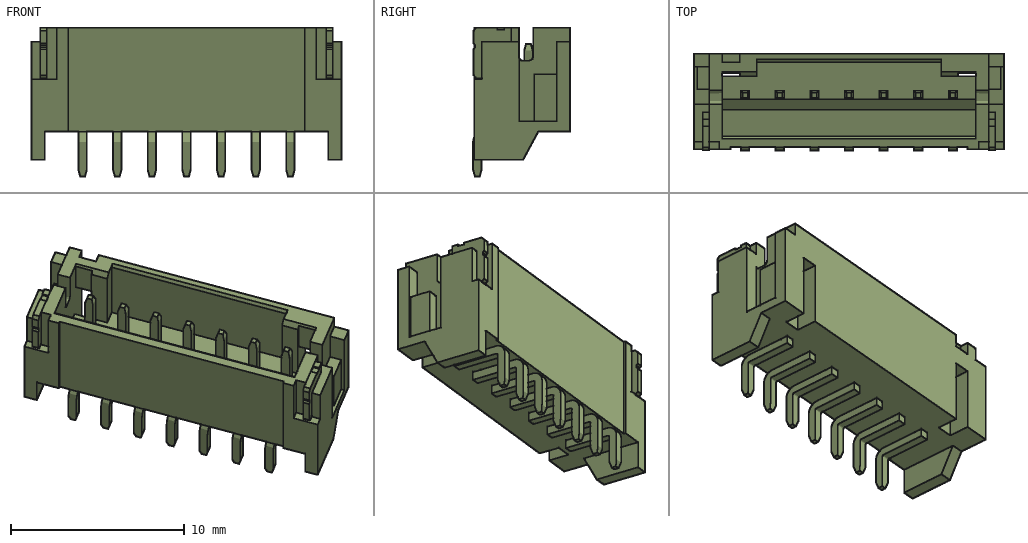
import cadquery as cq


LENGTH = 17.9
BACK_Y = 5.6
FRONT_Y = 0.2
SHELL_HALF = 8.07
TOP_Z = 6.0
END_WALL = 0.75
LEAD_IN = 0.16

CAVITY_HALF = SHELL_HALF - END_WALL
FRONT_WALL_Y = 0.85
FLOOR_Z = 1.68
LEDGE_Y = 2.95
LOW_FLOOR_Y = 2.35
SLOPE_DROP = LEDGE_Y - LOW_FLOOR_Y
POST_Y = 4.3
POST_LEAD_IN = 0.27
POST_INNER_X = 5.33
POST_OUTER_X = 6.3
CORNER_Y = 4.45
BACK_WALL_Y = 5.1
WINDOW_TOP_Z = 3.97
KEY_NOTCH_DEPTH = 0.8

SLOT_FRONT_Y = 2.67
SLOT_BACK_Y = 3.47
SLOT_BOTTOM_Z = 4.1
SLOT_BACK_RADIUS = 0.25
SLOT_FRONT_RADIUS = 0.2

WING_FRONT_Y = 0.07
WING_TOP_Z = 5.19
WING_INNER_X = 6.84
FOOT_DEPTH = 1.63
FOOT_WIDTH = 0.77
SLOPE_TOP_Y = 3.78
SLOPE_BOTTOM_Y = 2.9
POCKET_BACK_Y = 4.83
POCKET_FLOOR_Z = 0.59
BLOCK_FRONT_Y = 3.55
BLOCK_TOP_Z = 3.3
BLOCK_RECESS = 0.2
CORNER_CUT_X = 7.48
CORNER_CUT_Y = 0.52
CORNER_CUT_Z = 3.0

TAB_THICKNESS = 0.38
TAB_FRONT_Y = 0.02
TAB_BACK_Y = 2.2
TAB_BOTTOM_Z = 3.08
TAB_CHAMFER = 0.18
TAB_GROOVE_DEPTH = 0.1
TOP_GROOVE_FRONT_Y = 1.4
TOP_GROOVE_BACK_Y = 1.8
FRONT_GROOVE_TOP_Z = 5.08
FRONT_GROOVE_BOTTOM_Z = 4.76

PIN_COUNT = 7
PIN_ROW = 12.0
PIN_PITCH = PIN_ROW / (PIN_COUNT - 1)
PIN_SIZE = 0.5
PIN_TOP_Z = 5.07
PIN_BOTTOM_Z = -2.6
PIN_INNER_RADIUS = 0.1
PIN_OUTER_RADIUS = PIN_INNER_RADIUS + PIN_SIZE
PIN_TIP_LENGTH = 0.4
PIN_TIP_INSET = 0.1


def box(x0, x1, y0, y1, z0, z1):
    return cq.Workplane("XY").box(x1 - x0, y1 - y0, z1 - z0, centered=False).translate((x0, y0, z0))


def side_prism(points, x0, x1):
    """Extrude a closed (y, z) outline from x0 to x1."""
    return cq.Workplane("YZ").polyline(points).close().extrude(x1 - x0).translate((x0, 0, 0))


def both_ends(shape):
    """The shape together with its mirror image at the other end."""
    return shape.union(shape.mirror("YZ"))


def front_cavity():
    """Cavity as far back as the post faces, with its stepped floor and front lead-in."""
    outline = [
        (FRONT_WALL_Y - LEAD_IN, TOP_Z),
        (FRONT_WALL_Y, TOP_Z - LEAD_IN),
        (FRONT_WALL_Y, FLOOR_Z - SLOPE_DROP),
        (LOW_FLOOR_Y, FLOOR_Z - SLOPE_DROP),
        (LEDGE_Y, FLOOR_Z),
        (POST_Y, FLOOR_Z),
        (POST_Y, TOP_Z - POST_LEAD_IN),
        (POST_Y + POST_LEAD_IN, TOP_Z),
    ]
    return side_prism(outline, -CAVITY_HALF, CAVITY_HALF)


def back_cavity():
    """Deeper part of the cavity between the two posts."""
    outline = [
        (POST_Y, FLOOR_Z),
        (BACK_WALL_Y, FLOOR_Z),
        (BACK_WALL_Y, TOP_Z - LEAD_IN),
        (BACK_WALL_Y + LEAD_IN, TOP_Z),
        (POST_Y, TOP_Z),
    ]
    return side_prism(outline, -POST_INNER_X, POST_INNER_X)


def corner_openings():
    """Recess beside each post and the window below it, open to the back and the underside."""
    recess = box(-CAVITY_HALF, -POST_OUTER_X, POST_Y, CORNER_Y, 0, TOP_Z)
    window = box(-CAVITY_HALF, -POST_OUTER_X, POST_Y, BACK_Y, 0, WINDOW_TOP_Z)
    return both_ends(recess.union(window))


def key_notch():
    return box(-CAVITY_HALF, -POST_OUTER_X, BACK_WALL_Y, BACK_Y, TOP_Z - KEY_NOTCH_DEPTH, TOP_Z)


def end_slots():
    """Round-bottomed slot through both shell end walls."""
    slot = box(-SHELL_HALF, SHELL_HALF, SLOT_FRONT_Y, SLOT_BACK_Y, SLOT_BOTTOM_Z, TOP_Z)
    slot = slot.edges("|X and <Z and >Y").fillet(SLOT_BACK_RADIUS)
    return slot.edges("|X and <Z and <Y").fillet(SLOT_FRONT_RADIUS)


def wing():
    """Wing and foot at the -X end, with its side pocket and the block in that pocket."""
    end_x = -LENGTH / 2
    plate = box(end_x, -SHELL_HALF, WING_FRONT_Y, BACK_Y, 0, WING_TOP_Z)
    pocket = box(end_x, -SHELL_HALF, SLOT_FRONT_Y, POCKET_BACK_Y, POCKET_FLOOR_Z, WING_TOP_Z)
    block = box(end_x + BLOCK_RECESS, -SHELL_HALF, BLOCK_FRONT_Y, POCKET_BACK_Y, POCKET_FLOOR_Z, BLOCK_TOP_Z)
    foot_outline = [
        (WING_FRONT_Y, 0),
        (WING_FRONT_Y, -FOOT_DEPTH),
        (SLOPE_BOTTOM_Y, -FOOT_DEPTH),
        (SLOPE_TOP_Y, 0),
    ]
    foot = side_prism(foot_outline, end_x, end_x + FOOT_WIDTH)
    raised_front = box(-SHELL_HALF, -WING_INNER_X, WING_FRONT_Y, FRONT_Y, 0, TOP_Z)
    return plate.cut(pocket).union(block).union(foot).union(raised_front)


def front_corner_cut():
    """Cut at the -X front corner, which leaves the front of the tab exposed."""
    return box(-LENGTH / 2, -CORNER_CUT_X, WING_FRONT_Y, CORNER_CUT_Y, CORNER_CUT_Z, TOP_Z)


def tab_slot():
    """Slot in the -X wing that holds the rear of the tab."""
    return box(-SHELL_HALF - TAB_THICKNESS, -SHELL_HALF, CORNER_CUT_Y, TAB_BACK_Y, TAB_BOTTOM_Z, WING_TOP_Z)


def make_housing():
    shell = box(-SHELL_HALF, SHELL_HALF, FRONT_Y, BACK_Y, 0, TOP_Z).union(both_ends(wing()))
    shell = shell.cut(front_cavity()).cut(back_cavity()).cut(corner_openings()).cut(key_notch())
    shell = shell.cut(end_slots()).cut(both_ends(front_corner_cut())).cut(both_ends(tab_slot()))
    return shell


def make_tab():
    """Flat tab at the -X end, with a shallow groove in its top and front edges."""
    groove_y = TAB_FRONT_Y + TAB_GROOVE_DEPTH
    groove_z = TOP_Z - TAB_GROOVE_DEPTH
    outline = [
        (TAB_FRONT_Y + TAB_CHAMFER, TAB_BOTTOM_Z),
        (TAB_BACK_Y, TAB_BOTTOM_Z),
        (TAB_BACK_Y, TOP_Z),
        (TOP_GROOVE_BACK_Y, TOP_Z),
        (TOP_GROOVE_BACK_Y, groove_z),
        (TOP_GROOVE_FRONT_Y, groove_z),
        (TOP_GROOVE_FRONT_Y, TOP_Z),
        (TAB_FRONT_Y + TAB_CHAMFER, TOP_Z),
        (TAB_FRONT_Y, TOP_Z - TAB_CHAMFER),
        (TAB_FRONT_Y, FRONT_GROOVE_TOP_Z),
        (groove_y, FRONT_GROOVE_TOP_Z - TAB_GROOVE_DEPTH),
        (groove_y, FRONT_GROOVE_BOTTOM_Z + TAB_GROOVE_DEPTH),
        (TAB_FRONT_Y, FRONT_GROOVE_BOTTOM_Z),
        (TAB_FRONT_Y, TAB_BOTTOM_Z + TAB_CHAMFER),
    ]
    return side_prism(outline, -SHELL_HALF - TAB_THICKNESS, -SHELL_HALF)


def pin_tip(y, z, direction):
    """Tapered end of a pin, centred on (0, y) and pointing up (1) or down (-1) from height z."""
    tip_size = PIN_SIZE - 2 * PIN_TIP_INSET
    return (
        cq.Workplane("XY", origin=(0, y, z))
        .rect(PIN_SIZE, PIN_SIZE)
        .workplane(offset=direction * PIN_TIP_LENGTH)
        .rect(tip_size, tip_size)
        .loft(ruled=True)
    )


def make_pin():
    """Upright post, a run forward under the housing, and a leg bent down in front of it."""
    post_back_y = LEDGE_Y + PIN_SIZE
    half = PIN_SIZE / 2
    tip_base_z = PIN_TOP_Z - PIN_TIP_LENGTH
    leg_end_z = PIN_BOTTOM_Z + PIN_TIP_LENGTH
    post = box(-half, half, LEDGE_Y, post_back_y, -PIN_SIZE, tip_base_z)
    run = box(-half, half, 0, post_back_y, -PIN_SIZE, 0)
    leg = box(-half, half, 0, PIN_SIZE, leg_end_z, 0)
    corner = box(
        -half, half, PIN_SIZE, PIN_SIZE + PIN_INNER_RADIUS, -PIN_SIZE - PIN_INNER_RADIUS, -PIN_SIZE
    )
    bend_inside = (
        cq.Workplane("YZ", origin=(-half, PIN_OUTER_RADIUS, -PIN_OUTER_RADIUS))
        .circle(PIN_INNER_RADIUS)
        .extrude(PIN_SIZE)
    )
    pin = run.union(leg).edges("|X and <Y and >Z").fillet(PIN_OUTER_RADIUS)
    pin = pin.union(corner.cut(bend_inside)).union(post)
    pin = pin.union(pin_tip(LEDGE_Y + half, tip_base_z, 1))
    return pin.union(pin_tip(half, leg_end_z, -1))


pins = []
for index in range(PIN_COUNT):
    pin_x = -PIN_ROW / 2 + index * PIN_PITCH
    pins.append(make_pin().translate((pin_x, 0, 0)))

housing = make_housing()
for pin in pins:
    housing = housing.cut(pin)

left_tab = make_tab()
right_tab = left_tab.mirror("YZ")

result = cq.Compound.makeCompound(
    [housing.val(), left_tab.val(), right_tab.val(), *[pin.val() for pin in pins]]
)